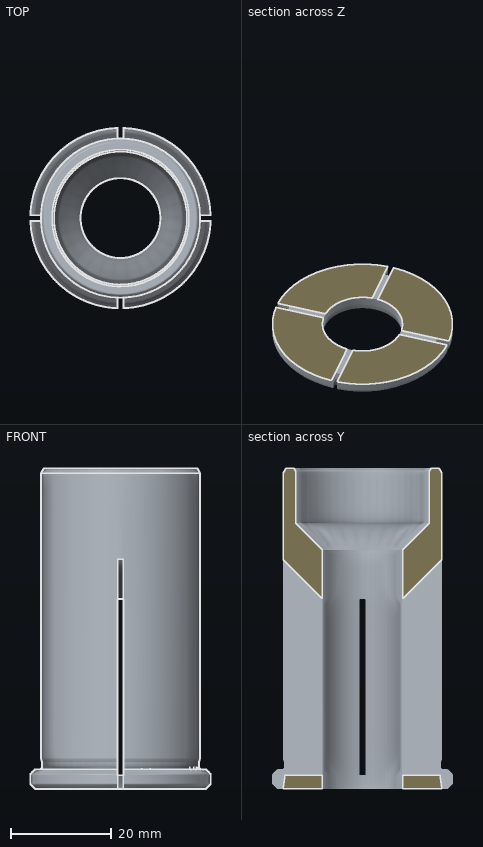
import cadquery as cq
import math

total_height = 64.0
body_radius = 31.75 / 2

bore_radius = 15.88 / 2
counterbore_radius = 26.5 / 2
counterbore_depth = 11.0
seat_slope = 45.0
mouth_chamfer_width = 0.4
mouth_chamfer_angle = 30.0

rim_chamfer_height = 1.0
rim_chamfer_angle = 30.0
rim_fillet = 0.4

flange_radius = 18.0
flange_height = 4.0
flange_chamfer = 1.0
flange_fillet = 0.35

groove_depth = 0.2
groove_height = 2.1
groove_taper_angle = 16.0
groove_fillet = 0.4

slot_count = 4
slot_width = 1.1
slot_top = 45.8
slot_end_slope = 45.0
bridge_height = 2.8
bridge_slope = 8.0


def make_sleeve():
    """Solid of revolution: flange, relief groove, body and stepped bore."""
    groove_radius = body_radius - groove_depth
    groove_taper = groove_depth / math.tan(math.radians(groove_taper_angle))
    rim_chamfer_width = rim_chamfer_height * math.tan(math.radians(rim_chamfer_angle))
    rim_radius = body_radius - rim_chamfer_width
    mouth_chamfer_height = mouth_chamfer_width / math.tan(math.radians(mouth_chamfer_angle))
    seat_top = total_height - counterbore_depth
    seat_height = (counterbore_radius - bore_radius) / math.tan(math.radians(seat_slope))
    groove_top = flange_height + groove_height

    half_section = [
        (bore_radius, 0),
        (flange_radius - flange_chamfer, 0),
        (flange_radius, flange_chamfer),
        (flange_radius, flange_height - flange_chamfer),
        (flange_radius - flange_chamfer, flange_height),
        (groove_radius, flange_height),
        (groove_radius, groove_top - groove_taper),
        (body_radius, groove_top),
        (body_radius, total_height - rim_chamfer_height),
        (rim_radius, total_height),
        (counterbore_radius + mouth_chamfer_width, total_height),
        (counterbore_radius, total_height - mouth_chamfer_height),
        (counterbore_radius, seat_top),
        (bore_radius, seat_top - seat_height),
    ]
    sleeve = cq.Workplane("XZ").polyline(half_section).close().revolve(360, (0, 0), (0, 1))

    sleeve = fillet_circle(sleeve, flange_radius, flange_chamfer, flange_fillet)
    sleeve = fillet_circle(sleeve, flange_radius, flange_height - flange_chamfer, flange_fillet)
    sleeve = fillet_circle(sleeve, flange_radius - flange_chamfer, flange_height, flange_fillet)
    sleeve = fillet_circle(sleeve, groove_radius, flange_height, groove_fillet)
    return fillet_circle(sleeve, rim_radius, total_height, rim_fillet)


def fillet_circle(solid, radius, height, fillet_radius):
    """Round the circular edge of the given radius that lies at the given height."""
    tolerance = 0.01
    low_corner = (-radius - tolerance, -radius - tolerance, height - tolerance)
    high_corner = (radius + tolerance, radius + tolerance, height + tolerance)
    inside = cq.selectors.BoxSelector(low_corner, high_corner, boundingbox=True)
    edges = [edge for edge in solid.edges(inside).vals() if abs(edge.radius() - radius) < tolerance]
    return solid.newObject(edges).fillet(fillet_radius)


def make_slot():
    """Cutter for one slot on the +X side, with a sloped end, leaving a web at the foot."""
    cutter_reach = 2 * flange_radius
    end_drop_at_axis = body_radius / math.tan(math.radians(slot_end_slope))
    end_rise_outside = (cutter_reach - body_radius) / math.tan(math.radians(slot_end_slope))
    bridge_top_radius = body_radius - bridge_height * math.tan(math.radians(bridge_slope))
    profile = [
        (0, bridge_height),
        (bridge_top_radius, bridge_height),
        (body_radius, 0),
        (cutter_reach, 0),
        (cutter_reach, slot_top + end_rise_outside),
        (0, slot_top - end_drop_at_axis),
    ]
    return cq.Workplane("XZ").polyline(profile).close().extrude(slot_width / 2, both=True)


result = make_sleeve()
for index in range(slot_count):
    result = result.cut(make_slot().rotate((0, 0, 0), (0, 0, 1), index * 360 / slot_count))